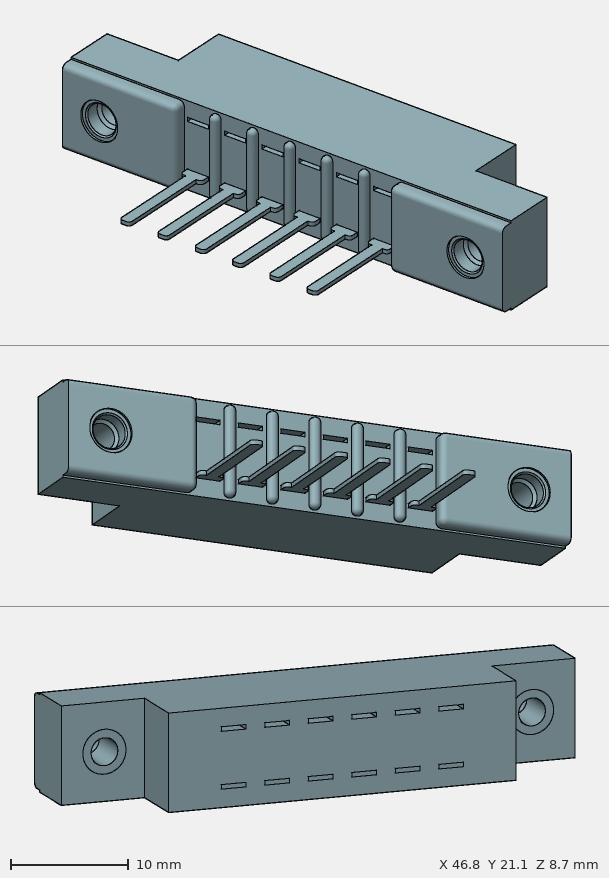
import cadquery as cq

length = 46.8
height = 8.7
depth = 12.0
core_width = 31.65
core_depth = 5.65
recess_depth = 1.2
recess_width = 22.65
ear_step = 0.2
ear_round = 0.55

contact_count = 6
contact_span = 19.8
row_offset = 2.55
slot_width = 2.25
contact_thickness = 0.4
tail_width = 1.1
tail_reach = 9.12
shoulder_reach = 1.0
contact_round = 0.37
rib_width = 1.0
rib_reach = 0.65
rib_height = 8.25
rib_round = 0.45

bushing_spacing = 38.95
bushing_radius = 1.95
bushing_recess = 0.25
counterbore_radius = 1.5
counterbore_depth = 1.45
mouth_chamfer = 0.15
bore_radius = 1.2

half_length = length / 2
ear_depth = depth - core_depth
pitch = contact_span / (contact_count - 1)
contact_xs = [i * pitch - contact_span / 2 for i in range(contact_count)]
rib_xs = [x + pitch / 2 for x in contact_xs[:-1]]
bushing_xs = [-bushing_spacing / 2, bushing_spacing / 2]


def block(width, y_start, y_end, thickness):
    """Box centred on X and Z between two Y positions."""
    plane = cq.Workplane("XY", origin=(0, y_start, 0))
    return plane.box(width, y_end - y_start, thickness, centered=(True, False, True))


def rod(x, radius, y_start, y_end):
    """Round bar along Y."""
    return cq.Workplane("XZ", origin=(x, y_start, 0)).circle(radius).extrude(y_start - y_end)


def make_ear_pad(side):
    """Rounded pad in front of the recess plane; side is -1 (left) or +1 (right)."""
    inner_x = recess_width / 2
    pad = block(half_length - inner_x, 0, recess_depth, height - 2 * ear_step)
    pad = pad.edges("(|X and <Y) or (|Y and <X) or (|Z and <X and <Y)").fillet(ear_round)
    pad = pad.translate(((half_length + inner_x) / 2, 0, 0))
    return pad if side > 0 else pad.mirror("YZ")


def make_rib(x):
    """Upright rib on the recess face, rounded on every edge that stands clear of it."""
    rib = block(rib_width, recess_depth - rib_reach, recess_depth, rib_height)
    return rib.edges("<Y or |Y").fillet(rib_round).translate((x, 0, 0))


def make_housing():
    housing = block(length, recess_depth, ear_depth, height)
    housing = housing.union(block(core_width, recess_depth, depth, height))
    for side in (-1, 1):
        housing = housing.union(make_ear_pad(side))
    for x in rib_xs:
        housing = housing.union(make_rib(x))
    slot = block(slot_width, recess_depth, depth, contact_thickness)
    for x in contact_xs:
        for z in (-row_offset, row_offset):
            housing = housing.cut(slot.translate((x, 0, z)))
    for x in bushing_xs:
        housing = housing.cut(rod(x, bushing_radius, 0, ear_depth))
    return housing


def make_contact(x):
    """Flat contact filling a lower slot, with rounded shoulders and a narrow tail."""
    shoulder_y = recess_depth - shoulder_reach
    blade = block(slot_width, shoulder_y, depth, contact_thickness)
    blade = blade.edges("|Z and <Y").fillet(contact_round)
    tail = block(tail_width, -tail_reach, recess_depth, contact_thickness)
    tail = tail.edges("|Z and <Y").fillet(contact_round)
    return blade.union(tail).translate((x, 0, -row_offset))


def make_bushing(x):
    """Sleeve through an ear, with a chamfered counterbore that narrows through a 45 degree cone to the bore."""
    cone_start = bushing_recess + counterbore_depth
    cone_end = cone_start + counterbore_radius - bore_radius
    half_section = [
        (counterbore_radius + mouth_chamfer, bushing_recess),
        (counterbore_radius, bushing_recess + mouth_chamfer),
        (counterbore_radius, cone_start),
        (bore_radius, cone_end),
        (bore_radius, ear_depth),
        (bushing_radius, ear_depth),
        (bushing_radius, bushing_recess),
    ]
    sleeve = cq.Workplane("XY").polyline(half_section).close().revolve(360, (0, 0, 0), (0, 1, 0))
    return sleeve.translate((x, 0, 0))


housing = make_housing()
contacts = [make_contact(x).val() for x in contact_xs]
bushings = [make_bushing(x).val() for x in bushing_xs]

result = cq.Compound.makeCompound([housing.val(), *contacts, *bushings])